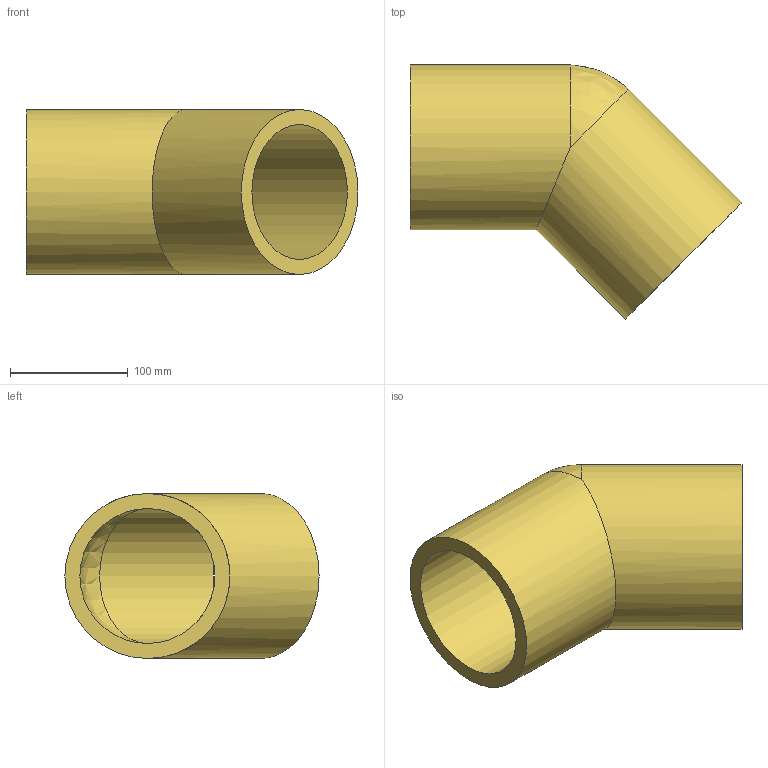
import cadquery as cq
import math

outer_diameter = 140.0
wall_thickness = 12.7
leg_length = 136.0
bend_angle = 45.0

outer_radius = outer_diameter / 2
bore_radius = outer_radius - wall_thickness

bend_radians = math.radians(bend_angle)
outlet_direction = cq.Vector(math.cos(bend_radians), -math.sin(bend_radians), 0)
inlet_direction = cq.Vector(-1, 0, 0)
bend_centre = cq.Vector(0, 0, 0)


def leg(radius, direction):
    """Straight solid cylinder from the bend centre to an open end."""
    return cq.Workplane(cq.Solid.makeCylinder(radius, leg_length, bend_centre, direction))


def corner_wedge(radius):
    """Spherical wedge filling the outside of the bend between the two legs."""
    half_disc = (
        cq.Workplane("YZ")
        .moveTo(0, -radius)
        .threePointArc((radius, 0), (0, radius))
        .close()
    )
    return half_disc.revolve(bend_angle, (0, 1), (0, 0))


def elbow_body(radius):
    """Solid elbow of one radius, used for both the outside and the bore."""
    legs = leg(radius, inlet_direction).union(leg(radius, outlet_direction))
    return legs.union(corner_wedge(radius))


result = elbow_body(outer_radius).cut(elbow_body(bore_radius))